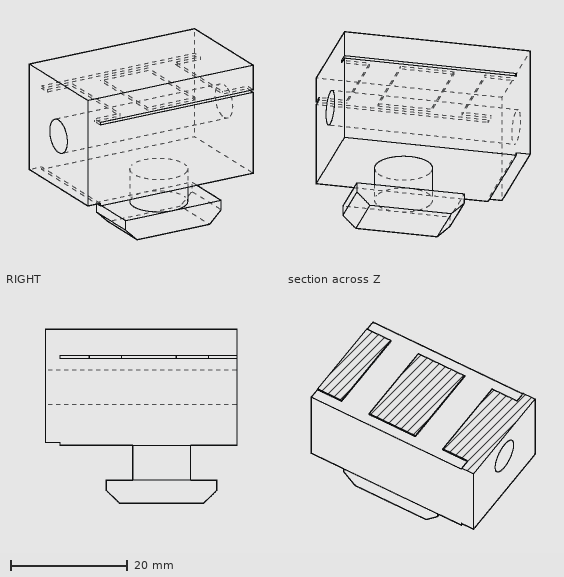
import cadquery as cq

width = 20.0
length = 33.0
body_height = 20.0
total_height = 30.0

cover_thickness = 4.55
gap_height = 0.45
end_plate_thickness = 2.48

window_length = 5.5
rear_pad_length = 4.95
middle_pad_length = 9.47
pad_recess = 1.98

bore_diameter = 6.0

stem_diameter = 10.0
stem_height = 6.0
foot_length = 19.07
foot_width = stem_diameter
foot_height = total_height - body_height - stem_height
foot_side_height = 1.75
foot_bevel_run = 2.3
stem_rear_distance = 13.0

block_bottom = total_height - body_height
cover_bottom = total_height - cover_thickness
block_top = cover_bottom - gap_height
stem_y = length - stem_rear_distance
bore_z = total_height - body_height / 2


def box_between(x_size, y_start, y_end, z_start, z_end):
    """Box centred on X, spanning the given Y and Z limits."""
    return cq.Workplane("XY").box(
        x_size, y_end - y_start, z_end - z_start, centered=(True, False, False)
    ).translate((0, y_start, z_start))


def make_cover():
    top_plate = box_between(width, 0, length, cover_bottom, total_height)
    end_plate = box_between(
        width, 0, end_plate_thickness, block_bottom + gap_height, total_height
    )
    return top_plate.union(end_plate)


def make_spacer_pads():
    """Three pads that join the cover to the block, set in from both sides."""
    rear_window_end = length - rear_pad_length
    middle_pad_end = rear_window_end - window_length
    middle_pad_start = middle_pad_end - middle_pad_length
    front_pad_end = middle_pad_start - window_length
    spans = [
        (end_plate_thickness, front_pad_end),
        (middle_pad_start, middle_pad_end),
        (rear_window_end, length),
    ]
    pad_width = width - 2 * pad_recess
    pads = cq.Workplane("XY")
    for y_start, y_end in spans:
        pads = pads.union(box_between(pad_width, y_start, y_end, block_top, cover_bottom))
    return pads


def make_foot():
    """Bar with bevelled lower ends, extruded across the width."""
    half_top = foot_length / 2
    half_bottom = half_top - foot_bevel_run
    shoulder_z = foot_height - foot_side_height
    return (
        cq.Workplane("YZ")
        .polyline([
            (-half_bottom, 0),
            (half_bottom, 0),
            (half_top, shoulder_z),
            (half_top, foot_height),
            (-half_top, foot_height),
            (-half_top, shoulder_z),
        ])
        .close()
        .extrude(foot_width / 2, both=True)
        .translate((0, stem_y, 0))
    )


block = box_between(width, end_plate_thickness, length, block_bottom, block_top)
stem = (
    cq.Workplane("XY", origin=(0, stem_y, foot_height))
    .circle(stem_diameter / 2)
    .extrude(stem_height)
)
bore = (
    cq.Workplane("XZ", origin=(0, 0, bore_z))
    .circle(bore_diameter / 2)
    .extrude(-length)
)

body = make_cover().union(block).union(make_spacer_pads()).cut(bore)
result = body.union(stem).union(make_foot())